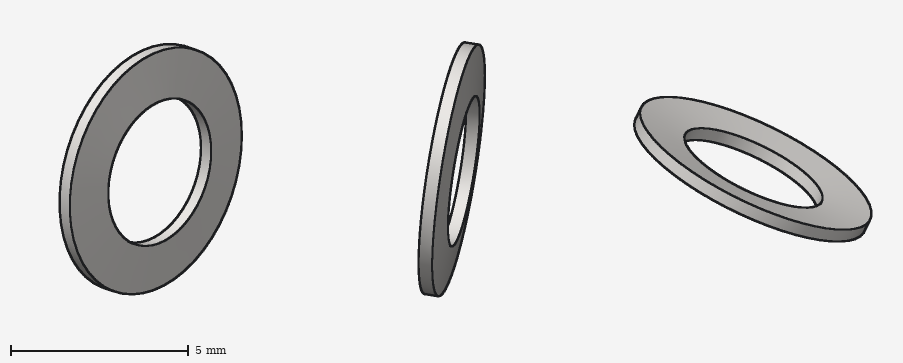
import cadquery as cq

outer_diameter = 7.2
inner_diameter = 4.3
overall_height = 0.55
rim_thickness = 0.395

outer_radius = outer_diameter / 2
inner_radius = inner_diameter / 2
cone_rise = overall_height - rim_thickness

rim_x = -overall_height / 2
bore_x = rim_x + cone_rise

section = (
    cq.Workplane("XY")
    .moveTo(rim_x, outer_radius)
    .lineTo(rim_x + rim_thickness, outer_radius)
    .lineTo(bore_x + rim_thickness, inner_radius)
    .lineTo(bore_x, inner_radius)
    .close()
)

result = section.revolve(360, (0, 0, 0), (1, 0, 0))